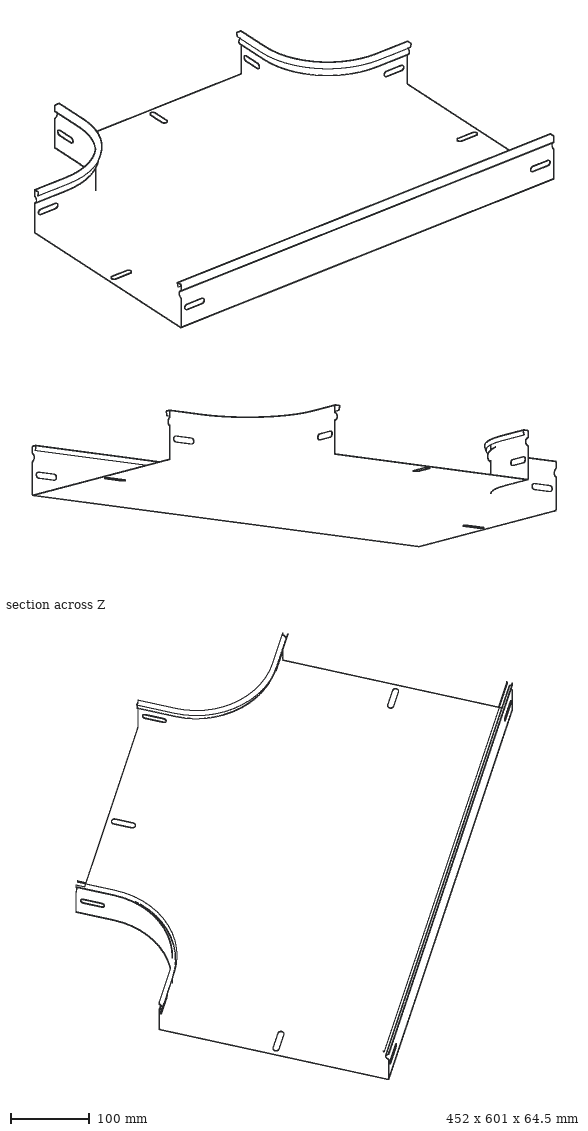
import cadquery as cq

LENGTH_X = 452.0
LENGTH_Y = 601.0
HEIGHT = 64.5
SHEET = 0.85

LEG = 149.5
LEG_STRAIGHT = 50.0
CORNER_RADIUS = LEG - LEG_STRAIGHT

BASE_OVERLAP = 6.0
BEND_RADIUS = 1.0
BEAD_BOTTOM = 44.0
BEAD_TOP = 54.5
BEAD_TIP = 9.5
BEAD_RADIUS = 5.5
FLANGE = 9.0
LIP_DROP = 6.0
LIP_RETURN = 2.0

SLOT_LENGTH = 31.0
SLOT_WIDTH = 8.0
SLOT_MARGIN = 6.0
SLOT_HEIGHT = 27.5
SLOT_PRESS = 0.3

HALF_Y = LENGTH_Y / 2
SLOT_CENTRE = SLOT_MARGIN + SLOT_LENGTH / 2
RUN_CENTRE_X = (LEG + LENGTH_X) / 2

TOLERANCE = 0.005

ALONG_X = (1, 0, 0)
ALONG_Y = (0, 1, 0)
AGAINST_X = (-1, 0, 0)
UP = (0, 0, 1)


def round_corners(wire, points, radius):
    """Wire with the corners that lie at the given points rounded."""
    corners = [v for v in wire.Vertices() if any((v.Center() - p).Length < TOLERANCE for p in points)]
    return wire.fillet(radius, corners)


def wall_section():
    """Closed section of the bent wall: X runs into the tray from the outer face, Y is height."""
    mid = SHEET / 2
    top = HEIGHT - mid
    tip = FLANGE - mid
    foot = cq.Vector(BASE_OVERLAP, mid)
    corner = cq.Vector(mid, mid)
    bead_start = cq.Vector(mid, BEAD_BOTTOM)
    bead_tip = cq.Vector(BEAD_TIP, (BEAD_BOTTOM + BEAD_TOP) / 2)
    bead_end = cq.Vector(mid, BEAD_TOP)
    flange_start = cq.Vector(mid, top)
    flange_end = cq.Vector(tip, top)
    lip_end = cq.Vector(tip - LIP_RETURN, top - LIP_DROP)

    bends = [corner, bead_start, bead_end, flange_start, flange_end]
    centreline = cq.Wire.makePolygon(
        [foot, corner, bead_start, bead_tip, bead_end, flange_start, flange_end, lip_end]
    )
    centreline = round_corners(centreline, bends, BEND_RADIUS)
    centreline = round_corners(centreline, [bead_tip], BEAD_RADIUS)
    return centreline.offset2D(mid)[0]


def wall_start(x, y, inward):
    """Wall section stood upright at (x, y), with its outer face there and facing away from inward."""
    across = cq.Vector(*inward)
    plane = cq.Plane(origin=(x, y, 0), xDir=across, normal=across.cross(cq.Vector(*UP)))
    return cq.Workplane(plane).newObject([wall_section().moved(plane.location)]).toPending()


def floor():
    """Flat floor, stopping halfway across the strips that belong to the walls."""
    inset = BASE_OVERLAP / 2
    edge = LEG + inset
    radius = CORNER_RADIUS + inset
    plate = cq.Workplane().box(LENGTH_X - inset, LENGTH_Y, SHEET, centered=(False, True, False))
    cutout = (
        cq.Workplane()
        .rect(2 * edge, 2 * edge)
        .extrude(SHEET)
        .edges("|Z")
        .fillet(radius)
    )
    for side in (-1, 1):
        plate = plate.cut(cutout.translate((0, side * HALF_Y, 0)))
    return plate


def corner_wall():
    """Wall round the -Y corner cut-out: straight, quarter turn, straight."""
    bend_y = LEG_STRAIGHT - HALF_Y
    leg_y = LEG - HALF_Y
    stem_leg = wall_start(0, leg_y, ALONG_Y).extrude(LEG_STRAIGHT)
    turn = wall_start(LEG_STRAIGHT, leg_y, ALONG_Y).revolve(
        90, (-CORNER_RADIUS, 6, 0), (-CORNER_RADIUS, 0, 0)
    )
    run_leg = wall_start(LEG, bend_y, ALONG_X).extrude(LEG_STRAIGHT)
    return stem_leg.union(turn).union(run_leg)


def press_slot(body, centre, along, inward):
    """Body with one slot panel pressed in; centre lies on the outer face of the sheet."""
    plane = cq.Plane(origin=centre, xDir=along, normal=inward)
    panel = cq.Workplane(plane).slot2D(SLOT_LENGTH, SLOT_WIDTH).extrude(SLOT_PRESS)
    return body.cut(panel).union(panel.translate(plane.zDir * SHEET))


back_wall = wall_start(LENGTH_X, -HALF_Y, AGAINST_X).extrude(LENGTH_Y)
corner_walls = corner_wall()
corner_walls = corner_walls.union(corner_walls.mirror("XZ"))
result = floor().union(back_wall).union(corner_walls)

result = press_slot(result, (SLOT_CENTRE, 0, 0), ALONG_X, UP)
for side in (-1, 1):
    end_y = side * (HALF_Y - SLOT_CENTRE)
    leg_y = side * (HALF_Y - LEG)
    result = press_slot(result, (RUN_CENTRE_X, end_y, 0), ALONG_Y, UP)
    result = press_slot(result, (LENGTH_X, end_y, SLOT_HEIGHT), ALONG_Y, AGAINST_X)
    result = press_slot(result, (LEG, end_y, SLOT_HEIGHT), ALONG_Y, ALONG_X)
    result = press_slot(result, (SLOT_CENTRE, leg_y, SLOT_HEIGHT), ALONG_X, (0, -side, 0))